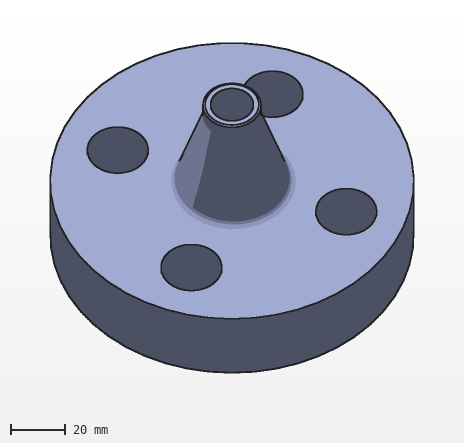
import cadquery as cq

overall_height = 79.5
bore_diameter = 15.7

flange_diameter = 133.35
flange_thickness = 30.4
face_diameter = 65.5
face_height = 6.2

bolt_count = 4
bolt_circle_diameter = 88.9
bolt_hole_diameter = 22.3

hub_base_diameter = 42.9
hub_fillet_radius = 3.0
neck_diameter = 21.3
neck_length = 6.4
neck_chamfer_width = 0.8
neck_chamfer_height = 0.4

flange_top = face_height + flange_thickness
neck_base = overall_height - neck_length


def cylinder(diameter, bottom, top):
    """Solid cylinder on the Z axis between two levels."""
    return cq.Workplane("XY").workplane(offset=bottom).circle(diameter / 2).extrude(top - bottom)


def flange_disc():
    """Flange plate with the raised face below it."""
    plate = cylinder(flange_diameter, face_height, flange_top)
    return plate.union(cylinder(face_diameter, 0, face_height))


def weld_hub():
    """Tapered hub ending in a straight neck with a chamfered rim."""
    neck_radius = neck_diameter / 2
    return (
        cq.Workplane("XZ")
        .moveTo(0, flange_top)
        .lineTo(hub_base_diameter / 2, flange_top)
        .lineTo(neck_radius, neck_base)
        .lineTo(neck_radius, overall_height - neck_chamfer_height)
        .lineTo(neck_radius - neck_chamfer_width, overall_height)
        .lineTo(0, overall_height)
        .close()
        .revolve(360, (0, 0, 0), (0, 1, 0))
    )


def fillet_hub_root(body):
    """Round the inside corner where the hub meets the flange."""
    reach = hub_base_diameter / 2 + hub_fillet_radius
    margin = hub_fillet_radius / 2
    root_zone = cq.selectors.BoxSelector(
        (-reach, -reach, flange_top - margin),
        (reach, reach, flange_top + margin),
        boundingbox=True,
    )
    return body.edges(root_zone).fillet(hub_fillet_radius)


def bolt_holes():
    """Through holes evenly spaced on the bolt circle, the first on the X axis."""
    return (
        cq.Workplane("XY")
        .polarArray(bolt_circle_diameter / 2, 0, 360, bolt_count)
        .circle(bolt_hole_diameter / 2)
        .extrude(flange_top)
    )


body = fillet_hub_root(flange_disc().union(weld_hub()))
bore = cylinder(bore_diameter, 0, overall_height)
result = body.cut(bolt_holes()).cut(bore)